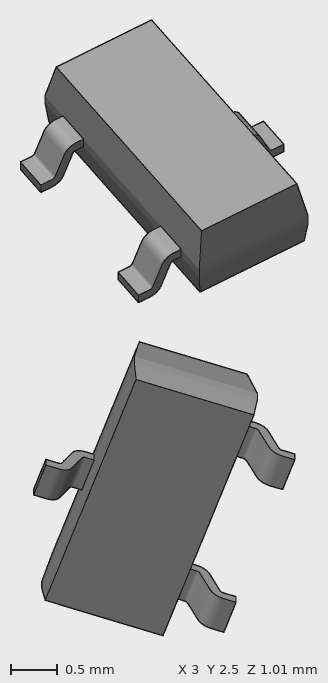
import cadquery as cq
import math

body_length = 3.0
body_width = 1.4
total_height = 1.01
standoff = 0.11
top_inset = 0.087
bottom_inset = 0.03

lead_span = 2.5
lead_width = 0.4
lead_thickness = 0.12
lead_pitch = 1.9
lead_top = 0.522
lead_underside = lead_top - lead_thickness
shoulder_length = 0.095
inner_radius = 0.045
outer_radius = inner_radius + lead_thickness
bend_angle = 67.0

face_y = body_width / 2
tip_y = lead_span / 2


def frustum(base_z, height, inset):
    """Band-sized rectangle at base_z, shrinking by inset per side over height."""
    return (
        cq.Workplane("XY", origin=(0, 0, base_z))
        .rect(body_length, body_width)
        .workplane(offset=height)
        .rect(body_length - 2 * inset, body_width - 2 * inset)
        .loft(ruled=True)
    )


def make_body():
    """Straight parting band with a tapered half above and below it."""
    band = (
        cq.Workplane("XY", origin=(0, 0, lead_underside))
        .rect(body_length, body_width)
        .extrude(lead_thickness)
    )
    upper = frustum(lead_top, total_height - lead_top, top_inset)
    lower = frustum(lead_underside, standoff - lead_underside, bottom_inset)
    return band.union(upper).union(lower)


def upper_bend(radius, angle):
    """Point on the shoulder bend, turned by angle from its topmost point."""
    turn = math.radians(angle)
    center_y = face_y + shoulder_length
    center_z = lead_top - outer_radius
    return center_y + radius * math.sin(turn), center_z + radius * math.cos(turn)


def lower_bend(radius, angle):
    """Point on the foot bend, turned by angle from its lowest point."""
    turn = math.radians(angle)
    rise = math.radians(bend_angle)
    radius_sum = inner_radius + outer_radius
    leg_drop = lead_underside - radius_sum * (1 - math.cos(rise))
    leg_run = leg_drop / math.tan(rise)
    center_y = face_y + shoulder_length + radius_sum * math.sin(rise) + leg_run
    return center_y - radius * math.sin(turn), outer_radius - radius * math.cos(turn)


def make_lead():
    """Lead on the +Y face, centred on X = 0."""
    half_bend = bend_angle / 2
    return (
        cq.Workplane("YZ", origin=(-lead_width / 2, 0, 0))
        .moveTo(face_y, lead_top)
        .lineTo(*upper_bend(outer_radius, 0))
        .threePointArc(upper_bend(outer_radius, half_bend), upper_bend(outer_radius, bend_angle))
        .lineTo(*lower_bend(inner_radius, bend_angle))
        .threePointArc(lower_bend(inner_radius, half_bend), lower_bend(inner_radius, 0))
        .lineTo(tip_y, lead_thickness)
        .lineTo(tip_y, 0)
        .lineTo(*lower_bend(outer_radius, 0))
        .threePointArc(lower_bend(outer_radius, half_bend), lower_bend(outer_radius, bend_angle))
        .lineTo(*upper_bend(inner_radius, bend_angle))
        .threePointArc(upper_bend(inner_radius, half_bend), upper_bend(inner_radius, 0))
        .lineTo(face_y, lead_underside)
        .close()
        .extrude(lead_width)
    )


body = make_body()
leads = [make_lead()]
for side in (-1, 1):
    turned = make_lead().rotate((0, 0, 0), (0, 0, 1), 180)
    leads.append(turned.translate((side * lead_pitch / 2, 0, 0)))

result = cq.Compound.makeCompound([body.val(), *[lead.val() for lead in leads]])